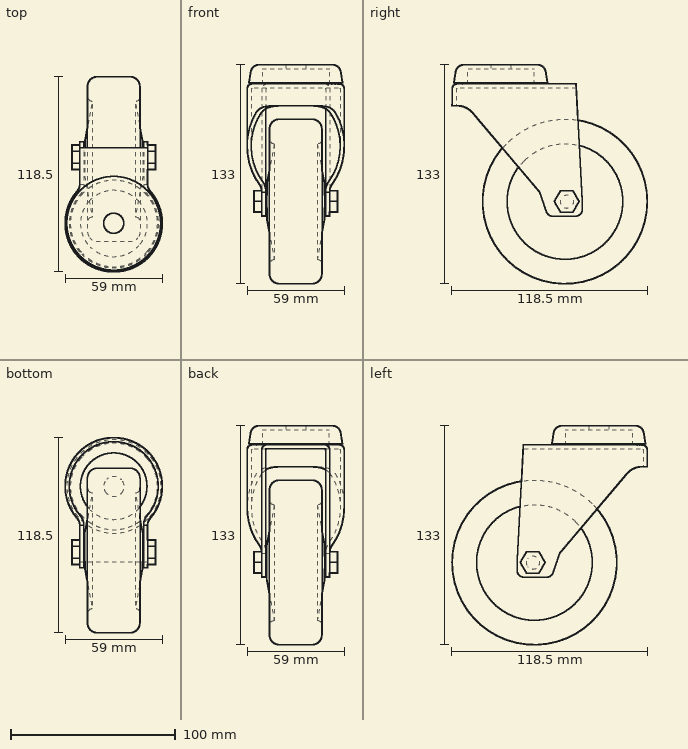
import cadquery as cq
import math


wheel_radius = 50.0
tread_half_width = 16.0
tread_edge_radius = 6.1
rim_radius = 38.0
rim_rounding = 2.9
hub_radius = 10.8
hub_half_width = 17.5
wheel_y = 39.0
axle_z = wheel_radius

bolt_y = wheel_y + 1.0
axle_radius = 4.0
hex_across_flats = 13.0
hex_head_height = 4.8

sheet = 2.5
hood_radius = 29.5
hood_top = 121.4
hood_edge_radius = 3.2
hood_underside = hood_top - sheet
plate_half_span = 20.6
plate_blend_y = 23.7
skirt_bottom = 108.0
skirt_blend_radius = 12.0
flare_bottom = 55.6
fork_bottom = 41.1
fork_corner_radius = 4.0
fork_back_top_y = 45.8
fork_back_bottom_y = 49.5
fork_tip_y = 28.6
front_slope = 1.182

cap_top = 133.0
cap_bottom = 122.0
cap_radius = 28.5
cap_taper = 9.0
cap_edge_radius = 5.3
cap_top_thickness = 2.7
neck_radius = hood_radius - hood_edge_radius
bore_radius = 6.1
cavity_radius = 20.2

overrun = 13.3


def fork_blank(inset):
    """Round hood with two plates running back from it, all sides moved in by the inset."""
    half_span = plate_half_span - inset
    radius = hood_radius - inset
    flare_radius = ((plate_half_span**2 + plate_blend_y**2 - hood_radius**2)
                    / (2 * (hood_radius - plate_half_span)))
    flare_x = plate_half_span + flare_radius
    flare_angle = math.atan2(plate_blend_y, flare_x)
    mid_angle = math.pi + flare_angle / 2
    inner_flare = flare_radius + inset
    hood_x = radius * math.cos(flare_angle)
    hood_y = radius * math.sin(flare_angle)
    mid_x = flare_x + inner_flare * math.cos(mid_angle)
    mid_y = plate_blend_y + inner_flare * math.sin(mid_angle)
    back_y = fork_back_bottom_y + overrun + inset
    return (
        cq.Workplane("XY")
        .moveTo(half_span, back_y)
        .lineTo(half_span, plate_blend_y)
        .threePointArc((mid_x, mid_y), (hood_x, hood_y))
        .threePointArc((0, -radius), (-hood_x, hood_y))
        .threePointArc((-mid_x, mid_y), (-half_span, plate_blend_y))
        .lineTo(-half_span, back_y)
        .close()
        .extrude(hood_top - inset)
        .faces(">Z").edges().fillet(hood_edge_radius - inset)
    )


def fork_side_profile():
    """Side outline of the fork, as a block across its full width."""
    vertex_y = plate_blend_y - (skirt_bottom - flare_bottom) / front_slope
    front_y = -hood_radius - overrun
    block = (
        cq.Workplane("YZ")
        .moveTo(front_y, hood_top)
        .lineTo(fork_back_top_y, hood_top)
        .lineTo(fork_back_bottom_y, axle_z)
        .lineTo(fork_back_bottom_y, fork_bottom)
        .lineTo(fork_tip_y, fork_bottom)
        .lineTo(plate_blend_y, flare_bottom)
        .lineTo(vertex_y, skirt_bottom)
        .lineTo(front_y, skirt_bottom)
        .close()
        .extrude(hood_radius + overrun, both=True)
    )
    block = block.edges("|X").edges("<Z").fillet(fork_corner_radius)
    skirt_corner = cq.selectors.NearestToPointSelector((0, vertex_y, skirt_bottom))
    return block.edges("|X").edges(skirt_corner).fillet(skirt_blend_radius)


def fork():
    shell = fork_blank(0).cut(fork_blank(sheet))
    return shell.intersect(fork_side_profile())


def cap():
    """Tapered cap with a rounded top, standing on a slightly smaller neck."""
    height = cap_top - cap_bottom
    body = (
        cq.Workplane("XY").workplane(offset=cap_bottom)
        .circle(cap_radius).extrude(height, taper=cap_taper)
        .faces(">Z").edges().fillet(cap_edge_radius)
    )
    neck = (
        cq.Workplane("XY").workplane(offset=hood_underside)
        .circle(neck_radius).extrude(cap_bottom - hood_underside)
    )
    return body.union(neck)


def swivel_bore():
    """Bolt hole in the cap top, opening into the wide bearing cavity below."""
    base = cq.Workplane("XY").workplane(offset=hood_underside)
    depth = cap_top - hood_underside
    cavity = base.circle(cavity_radius).extrude(depth - cap_top_thickness)
    hole = base.circle(bore_radius).extrude(depth)
    return cavity.union(hole)


def wheel():
    """Wheel turned about an axis along X, from a half section mirrored to both sides."""
    diagonal = math.sqrt(0.5)
    disc_radius = rim_radius - rim_rounding
    disc_edge_x = tread_half_width - rim_rounding
    tread_flat = tread_half_width - tread_edge_radius
    shoulder_radius = wheel_radius - tread_edge_radius
    rim_mid = (tread_half_width - rim_rounding * (1 - diagonal), rim_radius - rim_rounding * diagonal)
    tread_mid = (tread_flat + tread_edge_radius * diagonal, shoulder_radius + tread_edge_radius * diagonal)
    half = (
        cq.Workplane("XY")
        .lineTo(hub_half_width, 0)
        .lineTo(hub_half_width, hub_radius)
        .lineTo(disc_edge_x, disc_radius)
        .threePointArc(rim_mid, (tread_half_width, rim_radius))
        .lineTo(tread_half_width, shoulder_radius)
        .threePointArc(tread_mid, (tread_flat, wheel_radius))
        .lineTo(0, wheel_radius)
        .close()
        .revolve(360, (0, 0, 0), (1, 0, 0))
    )
    return half.union(half.mirror("YZ")).translate((0, wheel_y, axle_z))


def axle_bolt():
    """Axle through both plates with a hexagonal head on each outer face."""
    corner_diameter = hex_across_flats / math.cos(math.pi / 6)
    axle = cq.Workplane("YZ").circle(axle_radius).extrude(plate_half_span, both=True)
    head = (
        cq.Workplane("YZ").workplane(offset=plate_half_span)
        .polygon(6, corner_diameter).extrude(hex_head_height)
    )
    return axle.union(head).union(head.mirror("YZ")).translate((0, bolt_y, axle_z))


swivel = fork().union(cap()).cut(swivel_bore())
result = swivel.union(wheel()).union(axle_bolt())